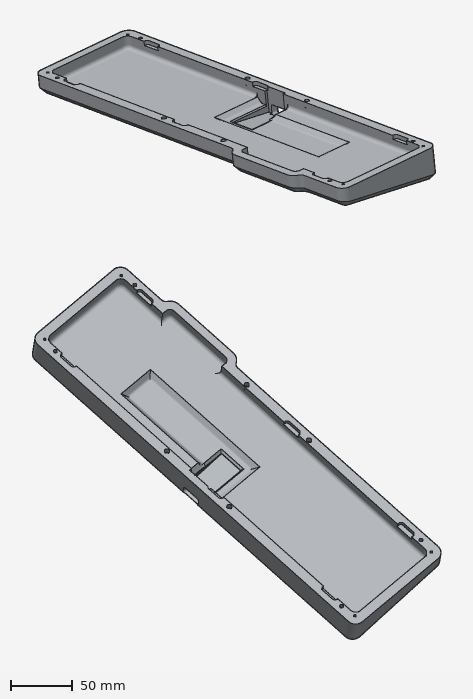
import cadquery as cq
import math


length = 369.0
total_depth = 113.5
total_height = 29.5
tilt = 7.0
sin_tilt = math.sin(math.radians(tilt))
cos_tilt = math.cos(math.radians(tilt))

case_depth = 104.0
corner_radius = 8.0
base_bevel = 5.0
back_lean = (total_height - base_bevel) * sin_tilt / cos_tilt
bump_front = -(total_depth - back_lean) / cos_tilt
bump_center = 95.0
bump_half_width = 31.0
bump_flare_angle = math.radians(61)
bump_concave_radius = 5.0

cavity_depth = 11.8
cavity_half_length = 176.0
cavity_back = -9.0
cavity_front = -95.5
cavity_front_left = -94.5
cavity_corner_radius = 5.5
cavity_floor_fillet = 3.5
bump_cavity_front = -104.0
bump_cavity_half_width = 33.5
bump_cavity_corner_radius = 4.5

pocket_depth = 4.5
pocket_wall_angle = 45.0
pocket_floor_fillet = 3.0
pocket_left = -21.8
pocket_right = 102.5
pocket_front = -56.5
pocket_arm_back = -22.5
pocket_neck_right = 14.8

recess_left = -11.8
recess_right = 10.5
recess_front = -45.8
recess_back = -6.5
recess_floor_z = 5.5
lip_half_width = 13.0
lip_front = -47.5
lip_depth = 2.2
lip_angle = 45.0
port_width = 17.0
port_bottom_z = 4.5
port_top_z = 13.3
port_corner_radius = 2.2
port_reach = 9.0

notch_centers = (-147.5, -18.0, 149.5)
notch_width = 16.2
notch_depth = 3.7
notch_reach = 3.5
notch_corner_radius = 2.5
hole_depth = 5.5
hole_sets = (
    (2.0, 176.5, -7.7, -96.5),
    (3.0, 162.7, -6.3, -98.0),
    (4.0, 35.5, -6.0, -98.0),
)


def set_down(solid):
    """Tilt a solid from the rim frame and place it over the base plane."""
    rim_back_y = total_depth / 2 - back_lean
    return solid.rotate((0, 0, 0), (1, 0, 0), tilt).translate((0, rim_back_y, total_height))


def box_between(x_range, y_range, z_range):
    size = [high - low for low, high in (x_range, y_range, z_range)]
    corner = (x_range[0], y_range[0], z_range[0])
    return cq.Workplane("XY").box(*size, centered=False).translate(corner)


def in_front_of_back_wall():
    """Space on the front side of the cavity's back wall."""
    return box_between((-length, length), (-length, cavity_back), (-length, length))


def make_blank():
    drop = 2 * total_height
    half = length / 2
    case = box_between((-half, half), (-case_depth, 0), (-drop, 0))
    case = case.edges("|Z").fillet(corner_radius)

    step = -case_depth - bump_front
    convex_radius = step / (1 - math.cos(bump_flare_angle)) - bump_concave_radius

    def convex_point(side, angle):
        x = bump_half_width + convex_radius * math.sin(angle)
        y = bump_front + convex_radius * (1 - math.cos(angle))
        return (bump_center + side * x, y)

    def concave_point(side, angle):
        flank_width = (convex_radius + bump_concave_radius) * math.sin(bump_flare_angle)
        x = bump_half_width + flank_width - bump_concave_radius * math.sin(angle)
        y = -case_depth - bump_concave_radius * (1 - math.cos(angle))
        return (bump_center + side * x, y)

    full, middle = bump_flare_angle, bump_flare_angle / 2
    bump = (
        cq.Workplane("XY")
        .moveTo(*concave_point(-1, 0))
        .threePointArc(concave_point(-1, middle), concave_point(-1, full))
        .threePointArc(convex_point(-1, middle), convex_point(-1, 0))
        .lineTo(*convex_point(1, 0))
        .threePointArc(convex_point(1, middle), convex_point(1, full))
        .threePointArc(concave_point(1, middle), concave_point(1, 0))
        .lineTo(concave_point(1, 0)[0], -case_depth / 2)
        .lineTo(concave_point(-1, 0)[0], -case_depth / 2)
        .close()
        .extrude(-drop)
    )
    blank = set_down(case.union(bump))
    above_base = box_between((-length, length), (-length, length), (0, length))
    blank = blank.intersect(above_base)
    return blank.faces("<Z").edges().chamfer(base_bevel)


def make_cavity():
    bump_left = bump_center - bump_cavity_half_width
    bump_right = bump_center + bump_cavity_half_width
    outline = [
        (-cavity_half_length, cavity_back),
        (-cavity_half_length, cavity_front_left),
        (bump_left, cavity_front),
        (bump_left, bump_cavity_front),
        (bump_right, bump_cavity_front),
        (bump_right, cavity_front),
        (cavity_half_length, cavity_front),
        (cavity_half_length, cavity_back),
    ]
    cavity = cq.Workplane("XY").polyline(outline).close().extrude(-cavity_depth)
    cavity = cavity.edges("|Z and (<X or >X)").fillet(cavity_corner_radius)
    cavity = cavity.edges("|Z and <Y").fillet(bump_cavity_corner_radius)
    return cavity.faces("<Z").edges().fillet(cavity_floor_fillet)


def make_pocket():
    neck_end = 0.0
    outline = [
        (pocket_left, neck_end),
        (pocket_left, pocket_front),
        (pocket_right, pocket_front),
        (pocket_right, pocket_arm_back),
        (pocket_neck_right, pocket_arm_back),
        (pocket_neck_right, neck_end),
    ]
    rise = cavity_floor_fillet
    raised = cq.Workplane("XY").polyline(outline).close().extrude(rise)
    sunk = cq.Workplane("XY").polyline(outline).close().extrude(-pocket_depth, taper=pocket_wall_angle)
    sunk = sunk.faces("<Z").edges().fillet(pocket_floor_fillet)
    pocket = raised.union(sunk).translate((0, 0, -cavity_depth))
    return pocket.intersect(in_front_of_back_wall())


def make_connector_recess():
    """Level-floored recess that notches the back wall, with a sloped lip at the pocket floor."""
    recess = box_between(
        (recess_left, recess_right), (recess_front, recess_back), (-2 * total_height, 0)
    )
    lip = (
        cq.Workplane("XY", origin=(0, cavity_back, -cavity_depth - pocket_depth))
        .rect(2 * lip_half_width, 2 * (cavity_back - lip_front))
        .extrude(-lip_depth, taper=lip_angle)
        .intersect(in_front_of_back_wall())
    )
    above_floor = box_between((-length, length), (-length, length), (recess_floor_z, length))
    return set_down(recess.union(lip)).intersect(above_floor)


def make_port():
    """Rounded opening from the recess out through the back wall."""
    back_y = total_depth / 2
    port = box_between(
        (-port_width / 2, port_width / 2),
        (back_y - port_reach, back_y + port_reach),
        (port_bottom_z, port_top_z),
    )
    return port.edges("|Y").fillet(port_corner_radius)


def make_notch(center, outer_y, inner_y):
    """Clip notch in the rim, open towards the cavity."""
    y_range = (min(outer_y, inner_y), max(outer_y, inner_y))
    x_range = (center - notch_width / 2, center + notch_width / 2)
    notch = box_between(x_range, y_range, (-notch_depth, 0))
    outer_side = ">Y" if outer_y > inner_y else "<Y"
    return notch.faces(outer_side).edges("|Z").fillet(notch_corner_radius)


def make_rim_cuts():
    overlap = 3.7
    cuts = cq.Workplane("XY")
    for center in notch_centers:
        cuts = cuts.add(make_notch(center, cavity_back + notch_reach, cavity_back - overlap))
        cuts = cuts.add(make_notch(center, cavity_front - notch_reach, cavity_front + overlap))
    for diameter, distance, back_row, front_row in hole_sets:
        spots = [(side * distance, row) for side in (-1, 1) for row in (back_row, front_row)]
        cuts = cuts.add(cq.Workplane("XY").pushPoints(spots).circle(diameter / 2).extrude(-hole_depth))
    return cuts.combine()


result = (
    make_blank()
    .cut(set_down(make_cavity()))
    .cut(set_down(make_pocket()))
    .cut(make_connector_recess())
    .cut(make_port())
    .cut(set_down(make_rim_cuts()))
)